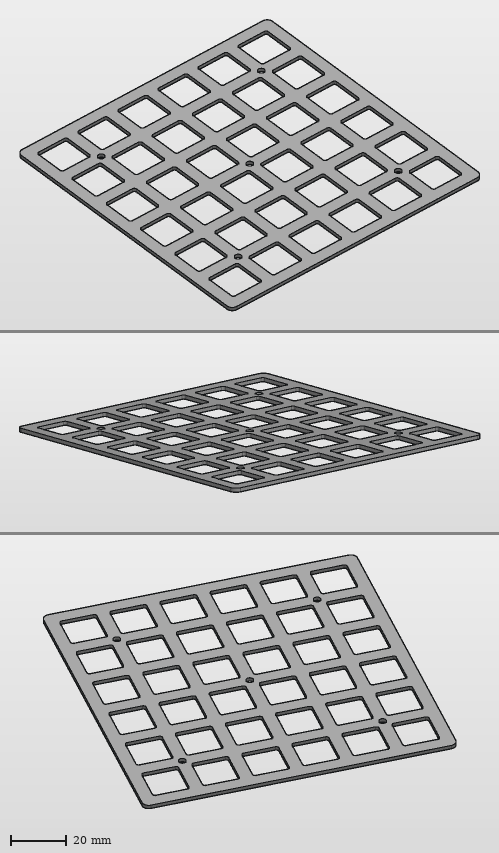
import cadquery as cq

plate_side = 119.4
plate_thickness = 1.5
plate_corner_radius = 2.5

openings_per_side = 6
opening_side = 14.0
opening_corner_radius = 1.0
bar_width = (plate_side - openings_per_side * opening_side) / (openings_per_side + 1)
opening_pitch = opening_side + bar_width

hole_diameter = 2.7
hole_offset = 2 * opening_pitch


def rounded_square_prisms(layout, side, corner_radius):
    """Prisms of plate thickness with rounded corners, one at each point of the layout."""
    return layout.rect(side, side).extrude(plate_thickness).edges("|Z").fillet(corner_radius)


plate = rounded_square_prisms(cq.Workplane("XY"), plate_side, plate_corner_radius)

opening_grid = cq.Workplane("XY").rarray(opening_pitch, opening_pitch, openings_per_side, openings_per_side)
openings = rounded_square_prisms(opening_grid, opening_side, opening_corner_radius)

hole_centers = [(0, 0)]
for x_side in (-1, 1):
    for y_side in (-1, 1):
        hole_centers.append((x_side * hole_offset, y_side * hole_offset))

holes = cq.Workplane("XY").pushPoints(hole_centers).circle(hole_diameter / 2).extrude(plate_thickness)

result = plate.cut(openings).cut(holes)